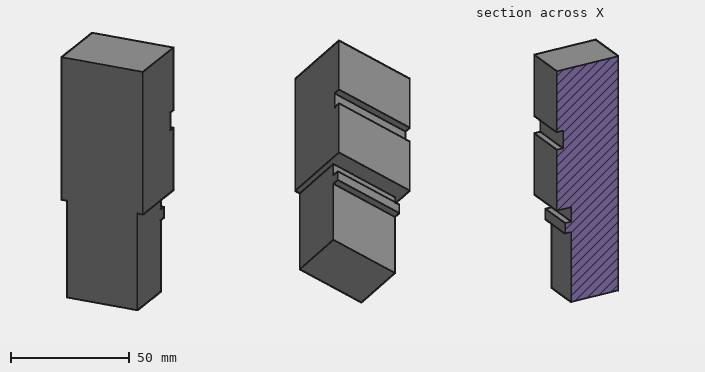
import cadquery as cq

upper_width = 38.0
upper_depth = 30.0
upper_height = 65.0

lower_width = 33.0
lower_depth = 23.0
lower_height = 44.0
total_height = lower_height + upper_height

groove_depth = 3.0
groove_height = 8.0
groove_top_offset = 28.5

rib_depth = 3.0
rib_height = 5.0
rib_top_offset = 6.5


def centred_block(width, depth, height, front_y, bottom_z):
    """Box centred in X, with its front face and underside at the given places."""
    return (
        cq.Workplane("XY")
        .box(width, depth, height, centered=(True, False, False))
        .translate((0, front_y, bottom_z))
    )


upper_block = centred_block(upper_width, upper_depth, upper_height, 0, lower_height)
lower_block = centred_block(lower_width, lower_depth, lower_height, 0, 0)

groove = centred_block(
    upper_width,
    groove_depth,
    groove_height,
    upper_depth - groove_depth,
    total_height - groove_top_offset - groove_height,
)

rib = centred_block(
    lower_width,
    rib_depth,
    rib_height,
    lower_depth,
    lower_height - rib_top_offset - rib_height,
)

result = upper_block.cut(groove).union(lower_block).union(rib)